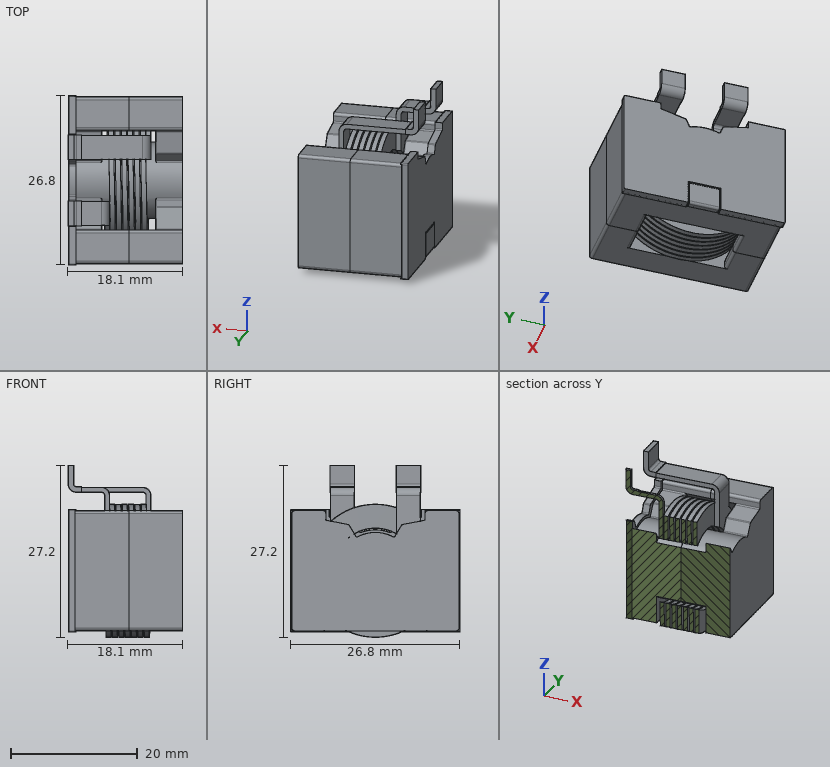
import cadquery as cq
import math


half_length = 8.5
core_width = 26.42
core_height = 19.0
leg_round = 0.5
window_depth = 4.25
window_radius = 11.25
window_opening = 15.65
post_radius = 6.05
notch_rim_z = 8.0
notch_kink_y = 4.19
notch_kink_z = 7.28
notch_foot_y = 3.0
notch_round = 0.22
notch_edge_round = 0.15

lip = 0.2
plate_thickness = 1.0
plate_width = 26.8
plate_height = core_height + 2 * lip
plate_notch_y = 7.28
plate_notch_rim_z = 8.48
plate_notch_kink_y = 3.1
plate_notch_kink_z = 7.5
plate_notch_foot_y = 2.47
plate_arc_radius = 6.5

slot_width = 5.38
slot_top_z = -5.35
pad_gap = 0.2
clip_base_round = 0.2

coil_outer_radius = 10.52
wire_width = 3.8
wire_thickness = 0.8
coil_pitch = 1.0
coil_turns = 6.5
coil_middle_x = -0.15

lead_middle_y = 5.22
lead_underside_z = 12.4
strip_outer_bend = 1.3
terminal_width = 3.91
terminal_thickness = 0.9
terminal_top_z = 16.65
terminal_overhang = 0.08
terminal_end_x = -7.45

plate_back_x = -half_length
plate_face_x = plate_back_x - plate_thickness
plate_bottom_z = -plate_height / 2
core_bottom_z = -core_height / 2
coil_inner_radius = coil_outer_radius - wire_width
coil_end_offset = coil_pitch * coil_turns / 2
lead_inner_y = lead_middle_y - wire_width / 2
lead_bottom_z = math.sqrt(coil_inner_radius**2 - lead_inner_y**2)
terminal_face_x = plate_face_x - terminal_overhang


def box(x_range, y_range, z_range):
    """Axis-aligned block between the given limits."""
    sizes = [limits[1] - limits[0] for limits in (x_range, y_range, z_range)]
    corner = (x_range[0], y_range[0], z_range[0])
    return cq.Workplane("XY").box(*sizes, centered=False).translate(corner)


def notch_prism(x_range, rim, kink, foot_y, arc_radius, top_z):
    """Prism of the top notch: sloping shoulders, a steep drop and an arched floor about the coil axis."""
    foot_z = math.sqrt(arc_radius**2 - foot_y**2)
    prism = (
        cq.Workplane("YZ", origin=(x_range[0], 0, 0))
        .moveTo(-rim[0], top_z)
        .lineTo(-rim[0], rim[1])
        .lineTo(-kink[0], kink[1])
        .lineTo(-foot_y, foot_z)
        .threePointArc((0, arc_radius), (foot_y, foot_z))
        .lineTo(*kink)
        .lineTo(*rim)
        .lineTo(rim[0], top_z)
        .close()
        .extrude(x_range[1] - x_range[0])
    )
    return prism.edges("|X").edges("not >Z").fillet(notch_round)


def core_notch(x_range):
    """Prism of the notch in the top of each core end wall, its floor level with the centre post."""
    rim = (window_opening / 2, notch_rim_z)
    kink = (notch_kink_y, notch_kink_z)
    return notch_prism(x_range, rim, kink, notch_foot_y, post_radius, core_height / 2)


def nearest_edges(body, points):
    """Edges of the body whose middles lie nearest to the given points."""
    picked = [body.edges(cq.selectors.NearestToPointSelector(point)).val() for point in points]
    return body.newObject(picked)


def core_half():
    """Core half on the +X side: two legs, an end wall with a notch, and the round centre post."""
    half_width = core_width / 2
    top_z = core_height / 2
    opening = window_opening / 2
    outer = box((0, half_length), (-half_width, half_width), (-top_z, top_z)).edges("|X").fillet(leg_round)

    window = cq.Workplane("YZ").circle(window_radius).extrude(half_length)
    window = window.union(box((0, half_length), (-opening, opening), (-top_z, top_z)))
    legs = outer.cut(window)

    wall_range = (window_depth, half_length)
    wall = outer.intersect(box(wall_range, (-half_width, half_width), (-top_z, top_z)))
    wall = wall.cut(core_notch(wall_range))
    shoulder_y = (opening + notch_kink_y) / 2
    shoulder_z = (notch_rim_z + notch_kink_z) / 2
    wall = nearest_edges(wall, [(window_depth, shoulder_y, shoulder_z)]).fillet(notch_edge_round)

    post = cq.Workplane("YZ").circle(post_radius).extrude(half_length)
    body = legs.union(wall).union(post)

    leg_edges = [(half_length / 2, side * opening, top_z) for side in (-1, 1)]
    leg_edges += [(window_depth / 2, side * opening, -top_z) for side in (-1, 1)]
    return nearest_edges(body, leg_edges).fillet(leg_round)


def end_plate():
    """Plate over the -X end of the core, lipped at top and bottom, notched at the top, slotted below."""
    half_width = plate_width / 2
    top_z = plate_height / 2
    x_range = (plate_face_x, plate_back_x + lip)
    plate = box(x_range, (-half_width, half_width), (-top_z, top_z)).edges("|X").fillet(lip)
    lip_range = (plate_back_x, plate_back_x + lip)
    core_seat = box(lip_range, (-half_width, half_width), (core_bottom_z, -core_bottom_z))
    core_seat = core_seat.cut(core_notch(lip_range))
    notch = notch_prism(
        x_range,
        (plate_notch_y, plate_notch_rim_z),
        (plate_notch_kink_y, plate_notch_kink_z),
        plate_notch_foot_y,
        plate_arc_radius,
        top_z,
    )
    slot = box(x_range, (-slot_width / 2, slot_width / 2), (plate_bottom_z, slot_top_z))
    return plate.cut(core_seat).cut(notch).cut(slot)


def clip():
    """Clip filling the plate slot: a base with a slightly smaller pad raised on its face and underside."""
    base_half = slot_width / 2
    pad_half = base_half - pad_gap
    base = box((plate_face_x + pad_gap, plate_back_x), (-base_half, base_half), (core_bottom_z, slot_top_z))
    base = base.edges("<X and <Z").fillet(clip_base_round)
    pad = box((plate_face_x, plate_back_x), (-pad_half, pad_half), (plate_bottom_z, slot_top_z - pad_gap))
    pad = pad.edges("<X and <Z").fillet(clip_base_round + pad_gap)
    return base.union(pad)


def bent_strip(corner_x, corner_z, end_x, end_z, thickness, width, middle_y):
    """Flat strip with one right-angle bend: outer corner, ends of its level and upright arms."""
    x_step = math.copysign(thickness, end_x - corner_x)
    z_step = math.copysign(thickness, end_z - corner_z)
    inner = (corner_x + x_step, corner_z + z_step)
    strip = (
        cq.Workplane("XZ", origin=(0, middle_y + width / 2, 0))
        .polyline(
            [
                (corner_x, corner_z),
                (end_x, corner_z),
                (end_x, inner[1]),
                inner,
                (inner[0], end_z),
                (corner_x, end_z),
            ]
        )
        .close()
        .extrude(width)
    )
    bends = (((corner_x, corner_z), strip_outer_bend), (inner, strip_outer_bend - thickness))
    for (x, z), radius in bends:
        strip = strip.edges(cq.selectors.NearestToPointSelector((x, middle_y, z))).fillet(radius)
    return strip


def coil_turns_solid():
    """Helical turns, starting on the -Y side and passing below the axis first, with flat end sectors."""
    frame = cq.Plane(origin=(coil_middle_x, 0, 0), xDir=(0, -1, 0), normal=(1, 0, 0))
    mean_radius = coil_outer_radius - wire_width / 2
    helix = cq.Wire.makeHelix(coil_pitch, coil_pitch * coil_turns, mean_radius)
    turns = (
        cq.Workplane("XZ")
        .center(mean_radius, 0)
        .rect(wire_width, wire_thickness)
        .sweep(cq.Workplane(helix), isFrenet=True)
        .translate((0, 0, -coil_end_offset))
    )
    sector_angle = math.degrees(math.atan2(lead_bottom_z, lead_inner_y))
    sector = (
        cq.Workplane("XZ", origin=(0, 0, -coil_end_offset))
        .center(mean_radius, 0)
        .rect(wire_width, wire_thickness)
        .revolve(sector_angle, (-mean_radius, 0, 0), (-mean_radius, -1, 0))
    )
    start_sector = cq.Workplane(sector.val().located(frame.location))
    end_sector = start_sector.rotate((coil_middle_x, 0, 0), (coil_middle_x, 0, 1), 180)
    return cq.Workplane(turns.val().located(frame.location)).union(start_sector).union(end_sector)


def winding():
    """Coil with both leads, each running out to an upright terminal."""
    body = coil_turns_solid()
    for side in (-1, 1):
        lead = bent_strip(
            coil_middle_x + side * coil_end_offset + wire_thickness / 2,
            lead_underside_z + wire_thickness,
            terminal_end_x,
            lead_bottom_z,
            wire_thickness,
            wire_width,
            side * lead_middle_y,
        )
        terminal = bent_strip(
            terminal_face_x,
            lead_underside_z,
            terminal_end_x,
            terminal_top_z,
            terminal_thickness,
            terminal_width,
            side * lead_middle_y,
        )
        body = body.union(lead).union(terminal)
    return body


right_core = core_half()
left_core = right_core.mirror("YZ")
plate = end_plate()
locking_clip = clip()
coil = winding()

result = cq.Compound.makeCompound(
    [left_core.val(), right_core.val(), plate.val(), locking_clip.val(), coil.val()]
)